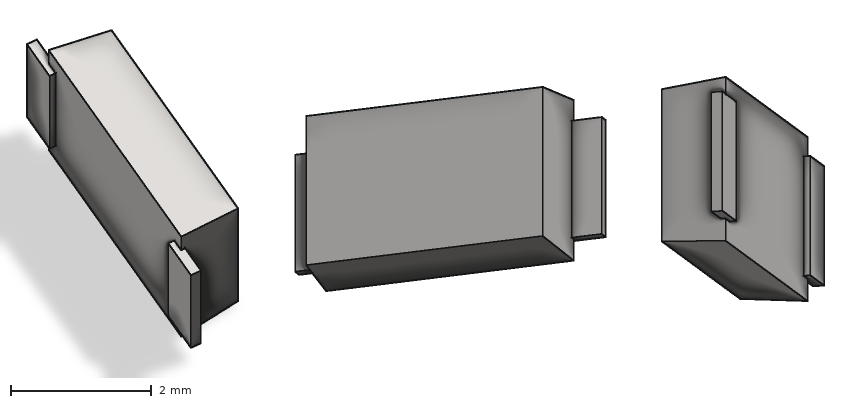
import cadquery as cq
import math

overall_length = 4.7
overall_depth = 1.08

housing_length = 3.798
housing_height = 2.4
standoff = 0.1
draft_angle = 5.0

terminal_length = 0.65
terminal_thickness = 0.165
terminal_height = 1.75

housing_depth = overall_depth - standoff
draft_inset = housing_depth * math.tan(math.radians(draft_angle))
terminal_offset = (overall_length - terminal_length) / 2


def make_terminal(side):
    """Flat plate at the -X end (side = -1) or the +X end (side = 1)."""
    return (
        cq.Workplane("XY")
        .box(terminal_length, terminal_thickness, terminal_height, centered=(True, False, True))
        .translate((side * terminal_offset, 0, 0))
    )


def make_housing(terminals):
    """Tapered block with a matching recess for each terminal."""
    housing = (
        cq.Workplane("XZ", origin=(0, standoff, 0))
        .rect(housing_length, housing_height)
        .workplane(offset=-housing_depth)
        .rect(housing_length - 2 * draft_inset, housing_height - 2 * draft_inset)
        .loft(ruled=True)
    )
    for terminal in terminals:
        housing = housing.cut(terminal)
    return housing.solids()


terminals = [make_terminal(side) for side in (-1, 1)]
housing = make_housing(terminals)

result = cq.Compound.makeCompound([housing.val(), *[terminal.val() for terminal in terminals]])